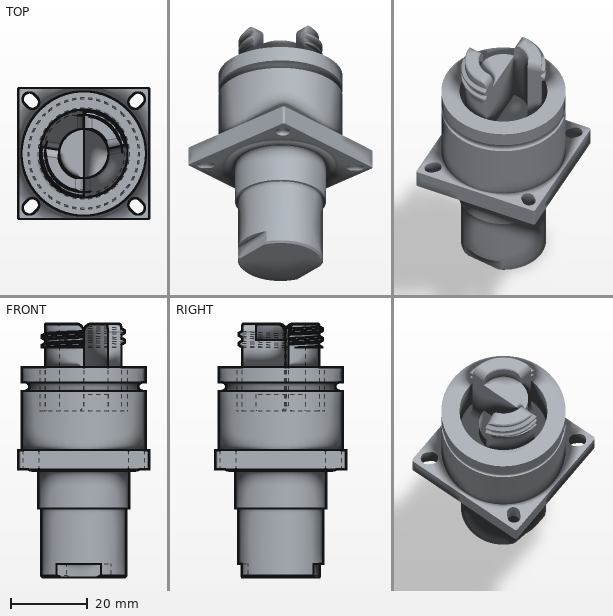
import cadquery as cq
import math

total_height = 66.05
shoulder_z = 17.9
flange_bottom_z = 28.15
flange_thickness = 5.0
jaw_height = 11.35
rim_z = total_height - jaw_height
floor_z = rim_z - jaw_height

barrel_radius = 11.1
barrel_chamfer = 0.5
neck_radius = 11.9
flat_distance = 9.45
flat_height = 3.55
flat_turn = 8.0

flange_side = 34.15
flange_corner_radius = 0.5
slot_offset = 13.75
slot_length = 4.55
slot_width = 3.45

seal_radius = 13.15
seal_half_width = 1.4
seal_bulge = 0.4

shell_radius = 16.2
shell_bore_radius = 11.4
groove_width = 2.2
groove_depth = 2.0
groove_top_z = rim_z - 3.95

jaw_outer_radius = 10.05
jaw_inner_radius = 6.4
jaw_tip_radius = 2.2
jaw_root_radius = 1.65
jaw_inner_chamfer = 0.25
jaw_outer_chamfer = 0.25
jaw_spans = (
    (11.3, 90.0),
    (171.4, 270.0),
)
sector_margin = 0.3

insert_step = 7.1

thread_pitch = 2.5
thread_crest_radius = 10.95
thread_sink = 0.25
thread_root_width = 2.0
thread_crest_width = 0.6
thread_cut_z = total_height - 6.2
thread_top_z = 63.85
thread_turns_below = 3
thread_turns_above = 0.4


def cylinder(radius, bottom, top):
    return cq.Workplane("XY").workplane(offset=bottom).circle(radius).extrude(top - bottom)


def tube(outer_radius, inner_radius, bottom, top):
    plane = cq.Workplane("XY").workplane(offset=bottom)
    return plane.circle(outer_radius).circle(inner_radius).extrude(top - bottom)


def turned(shape, angle):
    return shape.rotate((0, 0, 0), (0, 0, 1), angle)


def make_barrel():
    barrel = cylinder(barrel_radius, 0, shoulder_z).faces("<Z").chamfer(barrel_chamfer)
    flat_gap = cq.Workplane("XY").rect(4 * barrel_radius, 4 * barrel_radius)
    flat_gap = flat_gap.rect(4 * barrel_radius, 2 * flat_distance).extrude(flat_height)
    return barrel.cut(turned(flat_gap, -flat_turn))


def make_flange():
    flange = cq.Workplane("XY").workplane(offset=flange_bottom_z)
    flange = flange.rect(flange_side, flange_side).extrude(flange_thickness)
    flange = flange.edges("|Z").fillet(flange_corner_radius)
    for side_x in (-1, 1):
        for side_y in (-1, 1):
            slot = cq.Workplane("XY").workplane(offset=flange_bottom_z)
            slot = slot.center(side_x * slot_offset, side_y * slot_offset)
            slot = slot.slot2D(slot_length, slot_width, 45 * side_x * side_y)
            flange = flange.cut(slot.extrude(flange_thickness))
    return flange


def make_seal():
    profile = cq.Workplane("XZ").moveTo(seal_radius - seal_half_width, flange_bottom_z)
    profile = profile.threePointArc(
        (seal_radius, flange_bottom_z - seal_bulge),
        (seal_radius + seal_half_width, flange_bottom_z),
    )
    return profile.close().revolve(360, (0, 0, 0), (0, 1, 0))


def make_shell():
    shell = cylinder(shell_radius, flange_bottom_z + flange_thickness, rim_z)
    shell = shell.cut(cylinder(shell_bore_radius, floor_z, rim_z))
    round_radius = groove_width / 2
    round_start = shell_radius - groove_depth + round_radius
    groove = cq.Workplane("XZ").moveTo(shell_radius, groove_top_z)
    groove = groove.lineTo(round_start, groove_top_z)
    groove = groove.threePointArc(
        (shell_radius - groove_depth, groove_top_z - round_radius),
        (round_start, groove_top_z - groove_width),
    )
    groove = groove.lineTo(shell_radius, groove_top_z - groove_width).close()
    return shell.cut(groove.revolve(360, (0, 0, 0), (0, 1, 0)))


def make_insert():
    low_half = cylinder(jaw_inner_radius, floor_z, rim_z - insert_step)
    high_half = cylinder(jaw_inner_radius, floor_z, rim_z + insert_step)
    keep_negative_x = cq.Workplane("XY").box(
        shell_radius, 2 * shell_radius, 2 * total_height, centered=(False, True, False)
    ).translate((-shell_radius, 0, 0))
    return low_half.union(high_half.intersect(keep_negative_x))


def make_thread():
    start_z = thread_top_z - thread_turns_below * thread_pitch
    height = (thread_turns_below + thread_turns_above) * thread_pitch
    helix = cq.Wire.makeHelix(thread_pitch, height, jaw_outer_radius)
    root_radius = jaw_outer_radius - thread_sink
    profile = cq.Workplane("XZ").polyline([
        (root_radius, -thread_root_width / 2),
        (thread_crest_radius, -thread_crest_width / 2),
        (thread_crest_radius, thread_crest_width / 2),
        (root_radius, thread_root_width / 2),
    ]).close()
    thread = profile.sweep(cq.Workplane(helix), isFrenet=True).translate((0, 0, start_z))
    return thread.intersect(cylinder(shell_radius, thread_cut_z, total_height))


def make_jaw_sector(start, end):
    """Wedge with rounded upper ends that trims the threaded ring to one jaw."""
    inner = jaw_inner_radius - sector_margin
    outer = shell_bore_radius
    middle = (start + end) / 2

    def polar(radius, angle):
        return (
            radius * math.cos(math.radians(angle)),
            radius * math.sin(math.radians(angle)),
        )

    sector = cq.Workplane("XY").workplane(offset=floor_z).moveTo(*polar(inner, start))
    sector = sector.lineTo(*polar(outer, start))
    sector = sector.threePointArc(polar(outer, middle), polar(outer, end))
    sector = sector.lineTo(*polar(inner, end))
    sector = sector.threePointArc(polar(inner, middle), polar(inner, start)).close()
    sector = sector.extrude(total_height - floor_z)
    return sector.faces(">Z").edges("%LINE").fillet(jaw_tip_radius)


def make_root_fillet(angle, side):
    """Concave fillet along a jaw end face; side is +1 counter-clockwise of the face, -1 clockwise."""
    corner = jaw_root_radius * side
    mid = corner * (1 - math.sqrt(0.5))
    profile = cq.Workplane("YZ").moveTo(0, floor_z).lineTo(corner, floor_z)
    profile = profile.threePointArc((mid, floor_z + abs(mid)), (0, floor_z + jaw_root_radius))
    fillet = profile.close().extrude(jaw_outer_radius)
    ring = tube(jaw_outer_radius, jaw_inner_radius, floor_z, rim_z)
    return turned(fillet.intersect(ring), angle)


def make_jaws():
    ring = tube(jaw_outer_radius, jaw_inner_radius, floor_z, total_height)
    ring = ring.faces(">Z").edges(cq.selectors.RadiusNthSelector(0)).chamfer(jaw_inner_chamfer)
    ring = ring.faces(">Z").edges(cq.selectors.RadiusNthSelector(1)).chamfer(jaw_outer_chamfer)
    ring = ring.union(make_thread())
    parts = []
    for start, end in jaw_spans:
        parts.append(ring.intersect(make_jaw_sector(start, end)))
        parts.append(make_root_fillet(start, -1))
        parts.append(make_root_fillet(end, 1))
    return parts


neck = cylinder(neck_radius, shoulder_z, flange_bottom_z)

result = (
    make_barrel()
    .union(neck)
    .union(make_flange())
    .union(make_seal())
    .union(make_shell())
    .union(make_insert())
)
for jaw_part in make_jaws():
    result = result.union(jaw_part)